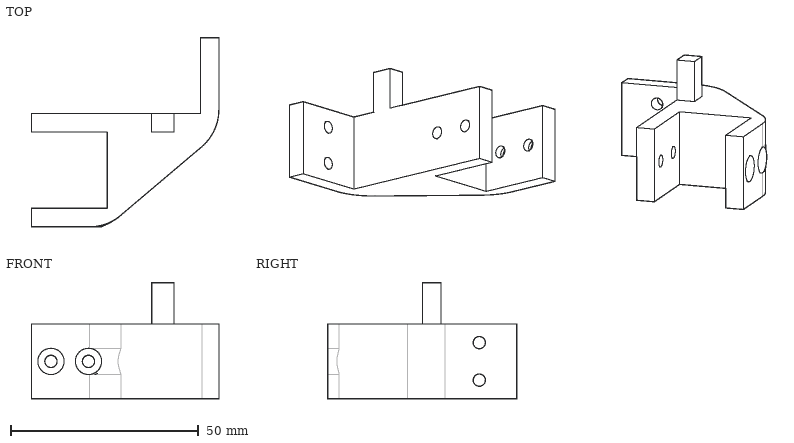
import cadquery as cq

wall = 5.0
gap = 20.2
length = 50.0
height = 20.0
corner_radius = 13.0

post_width = 6.0
post_start = 32.0
post_height = 11.0

hole_diameter = 3.2
counterbore_diameter = 7.0
counterbore_depth = 3.0
hole_spacing = 10.0
first_screw_x = 5.2
arm_hole_inset = 10.0

back_inner = wall + gap
back_outer = back_inner + wall
arm_end = back_outer + gap
mid_height = height / 2


def sharp_body():
    """Slotted clamp with a slanted outer face and an arm pointing along +Y."""
    outline = [
        (0, 0),
        (gap, 0),
        (length, back_inner),
        (length, arm_end),
        (length - wall, arm_end),
        (length - wall, back_outer),
        (0, back_outer),
        (0, back_inner),
        (gap, back_inner),
        (gap, wall),
        (0, wall),
    ]
    return cq.Workplane("XY").polyline(outline).close().extrude(height)


def cylinder_along_y(diameter, depth, x, z):
    """Round cutter starting at the front face."""
    start = cq.Vector(x, 0, z)
    return cq.Workplane(cq.Solid.makeCylinder(diameter / 2, depth, start, cq.Vector(0, 1, 0)))


def cut_clamp_holes(body):
    """Two screw holes through both clamp walls, counterbored from the front."""
    for index in range(2):
        x = first_screw_x + index * hole_spacing
        body = body.cut(cylinder_along_y(hole_diameter, back_outer, x, mid_height))
        body = body.cut(cylinder_along_y(counterbore_diameter, counterbore_depth, x, mid_height))
    return body


def cut_arm_holes(body):
    """Two plain holes through the arm, one above the other."""
    y = arm_end - arm_hole_inset
    for offset in (-hole_spacing / 2, hole_spacing / 2):
        start = cq.Vector(length - wall, y, mid_height + offset)
        cutter = cq.Solid.makeCylinder(hole_diameter / 2, wall, start, cq.Vector(1, 0, 0))
        body = body.cut(cq.Workplane(cutter))
    return body


def round_slant_corners(body):
    """Round both vertical edges of the slanted face, blending into the counterbore rim."""
    for x, y in ((gap, 0), (length, back_inner)):
        edge = cq.selectors.NearestToPointSelector((x, y, mid_height))
        body = body.edges("|Z").edges(edge).fillet(corner_radius)
    return body


def post():
    """Rectangular post standing on the back wall."""
    return cq.Workplane("XY").box(post_width, wall, post_height, centered=False).translate(
        (post_start, back_inner, height)
    )


body = sharp_body()
body = cut_clamp_holes(body)
body = cut_arm_holes(body)
body = round_slant_corners(body)
result = body.union(post())